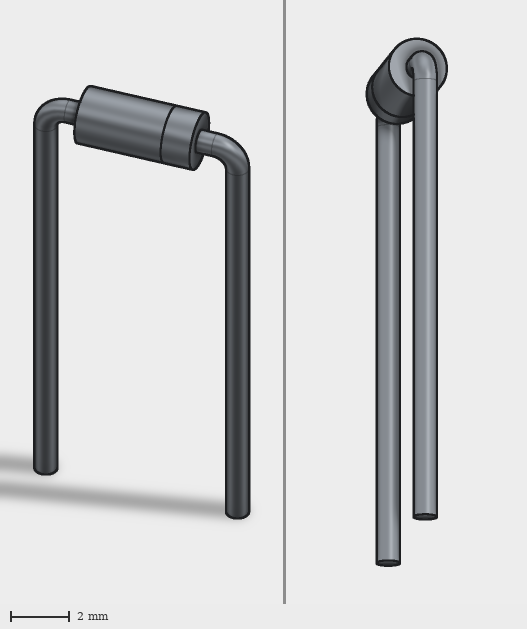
import cadquery as cq

total_height = 17.0
total_width = 7.7

body_diameter = 2.0
body_length = 4.15
band_length = body_length / 4

wire_diameter = 0.8
bend_radius = wire_diameter

body_end_x = body_length / 2
band_start_x = body_end_x - band_length
lead_axis_x = (total_width - wire_diameter) / 2
bend_start_x = lead_axis_x - bend_radius
lead_bottom_z = body_diameter / 2 - total_height


def make_cylinder_along_x(start_x, end_x):
    """Section of the component body between two X positions."""
    return (
        cq.Workplane("YZ", origin=(start_x, 0, 0))
        .circle(body_diameter / 2)
        .extrude(end_x - start_x)
    )


def make_lead(side):
    """Wire that leaves one body end, bends a quarter turn and runs down; side is -1 or +1."""
    half_bend_sine = 0.5 ** 0.5
    bend_middle = (
        side * (bend_start_x + bend_radius * half_bend_sine),
        -bend_radius * (1 - half_bend_sine),
    )
    path = (
        cq.Workplane("XZ")
        .moveTo(side * body_end_x, 0)
        .lineTo(side * bend_start_x, 0)
        .threePointArc(bend_middle, (side * lead_axis_x, -bend_radius))
        .lineTo(side * lead_axis_x, lead_bottom_z)
    )
    return (
        cq.Workplane("YZ", origin=(side * body_end_x, 0, 0))
        .circle(wire_diameter / 2)
        .sweep(path)
    )


housing = make_cylinder_along_x(-body_end_x, band_start_x)
polarity_band = make_cylinder_along_x(band_start_x, body_end_x)
leads = [make_lead(side) for side in (-1, 1)]

result = cq.Compound.makeCompound(
    [housing.val(), polarity_band.val(), *[lead.val() for lead in leads]]
)